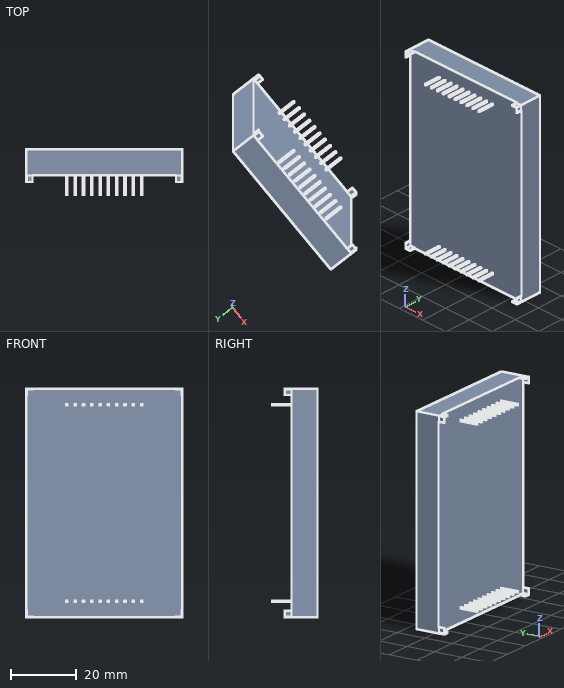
import cadquery as cq

width = 47.8
height = 69.85
housing_depth = 8.0

foot_length = 2.0
foot_rise = 2.0
foot_wall = 0.25

overall_depth = 14.0
pin_diameter = 0.5
pins_per_row = 10
pin_row_span = 22.85
pin_row_spacing = 60.0
pin_pitch = pin_row_span / (pins_per_row - 1)
pin_length = overall_depth - housing_depth

display_face_y = overall_depth / 2
pin_face_y = display_face_y - housing_depth


def make_housing():
    return cq.Workplane("XY").box(width, housing_depth, height).translate(
        (0, pin_face_y + housing_depth / 2, 0)
    )


def pin_face_plane():
    """Plane on the pin face: local x is +X, local y is +Z, outward is -Y."""
    return cq.Workplane("XZ", origin=(0, pin_face_y, 0))


def make_foot(side_x, side_z):
    """L-shaped foot whose outer walls are flush with the housing sides."""
    outer_x = side_x * width / 2
    outer_z = side_z * height / 2
    tip_x = outer_x - side_x * foot_length
    tip_z = outer_z - side_z * foot_length
    inner_x = outer_x - side_x * foot_wall
    inner_z = outer_z - side_z * foot_wall
    outline = [
        (outer_x, outer_z),
        (tip_x, outer_z),
        (tip_x, inner_z),
        (inner_x, inner_z),
        (inner_x, tip_z),
        (outer_x, tip_z),
    ]
    return pin_face_plane().polyline(outline).close().extrude(foot_rise)


def make_pins():
    return (
        pin_face_plane()
        .rarray(pin_pitch, pin_row_spacing, pins_per_row, 2)
        .circle(pin_diameter / 2)
        .extrude(pin_length)
    )


result = make_housing()
for side_x in (-1, 1):
    for side_z in (-1, 1):
        result = result.union(make_foot(side_x, side_z))
result = result.union(make_pins())